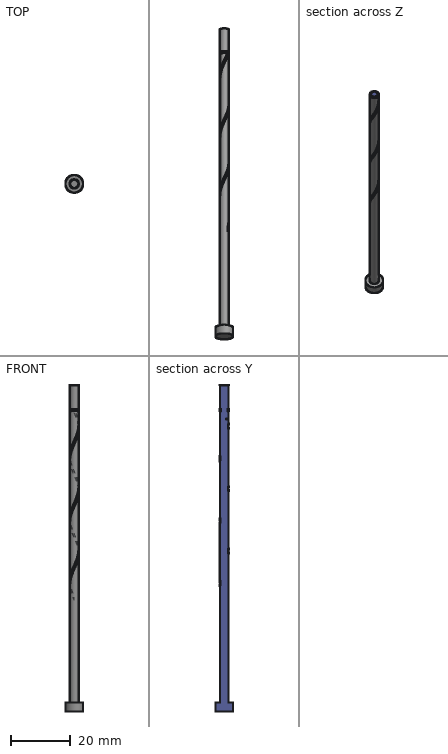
import cadquery as cq
import math

total_length = 109.0
head_diameter = 6.0
head_height = 3.0
shaft_radius = 1.5

tip_length = 8.1
ring_width = 0.7
ring_depth = 0.3

spiral_pitch = 20.8
spiral_turns = 3
spiral_width = 0.5
spiral_depth = 0.16
cutter_overhang = 0.2

ring_bottom = total_length - tip_length - ring_width
spiral_length = spiral_turns * spiral_pitch
spiral_bottom = ring_bottom - spiral_length


def make_pin():
    head = cq.Workplane("XY").circle(head_diameter / 2).extrude(head_height)
    shaft = cq.Workplane("XY").circle(shaft_radius).extrude(total_length)
    return head.union(shaft)


def make_ring_cutter():
    return (
        cq.Workplane("XY", origin=(0, 0, ring_bottom))
        .circle(head_diameter / 2)
        .circle(shaft_radius - ring_depth)
        .extrude(ring_width)
    )


def make_spiral_cutter():
    floor_radius = shaft_radius - spiral_depth
    path = cq.Wire.makeHelix(spiral_pitch, spiral_length, shaft_radius)
    slope = math.atan2(spiral_pitch, 2 * math.pi * shaft_radius)
    vertical_width = spiral_width / math.cos(slope)
    return (
        cq.Workplane("XZ", origin=(floor_radius, 0, 0))
        .rect(spiral_depth + cutter_overhang, vertical_width, centered=(False, True))
        .sweep(cq.Workplane(path), isFrenet=True)
        .rotate((0, 0, 0), (0, 0, 1), 90)
        .translate((0, 0, spiral_bottom))
    )


result = make_pin().cut(make_ring_cutter()).cut(make_spiral_cutter())